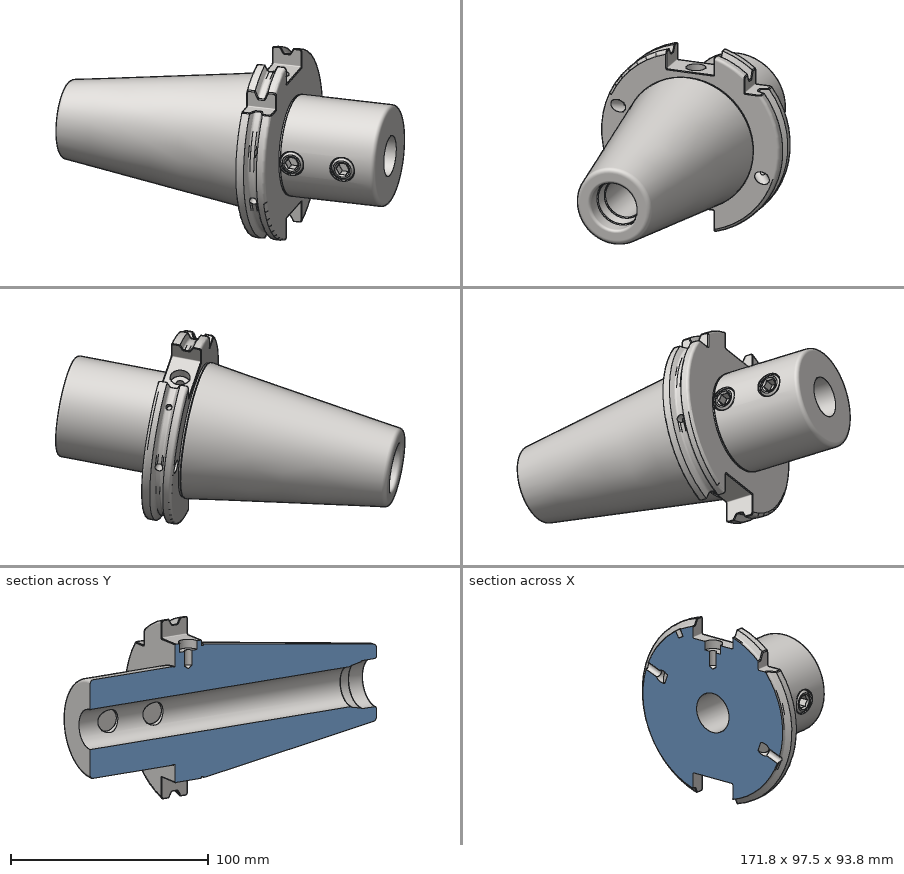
import cadquery as cq
import math


gauge_radius = 69.85 / 2
taper_length = 101.75
taper_per_length = 7 / 24 / 2
taper_overrun = 0.9
nose_fillet = 2.5

flange_start = 3.2
flange_width = 15.9
flange_radius = 97.5 / 2
flange_edge_fillet = 1.5
groove_x = 11.1
groove_width = 6.8
groove_depth = 3.1
groove_flank_angle = 30
groove_floor_fillet = 1

front_relief_depth = 0.5
front_relief_width = 1.4
rear_relief_depth = 0.3
rear_relief_width = 0.9

holder_radius = 52 / 2
holder_end = 70
holder_edge_fillet = 2

pilot_radius = 25 / 2
pilot_depth = 9
pilot_mouth_fillet = 1.5
throat_mouth_radius = 24 / 2
throat_end_radius = 21.8 / 2
throat_length = 5.5
bore_radius = 20.8 / 2

slot_width = 25.7
upper_slot_floor = 37.5
lower_slot_floor = 35.3
notch_y = -29.7
notch_z = 30
cut_edge_chamfer = 0.43
cut_corner_fillet = 0.5

chip_radius = 10 / 2
chip_depth = 4.6
chip_drill_radius = 4 / 2
chip_drill_depth = 8

drill_tip_ratio = 1 / math.tan(math.radians(118 / 2))

coolant_angle = 20
coolant_pitch_radius = 41.7
coolant_radius = 6.3 / 2
coolant_tilt = 40
coolant_depth = 12
feed_radius = 4 / 2
feed_depth = 12

mark_angle = 60
mark_radius = 3 / 2
mark_depth = 5

screw_positions = (25.75, 52.75)
screw_radius = 12 / 2
screw_top = 25.8
screw_length = 14
screw_top_radius = 9.6 / 2
hex_across_flats = 6
hex_depth = 6
hex_mouth_radius = 8 / 2
screw_hole_mouth_radius = 13 / 2

flange_end = flange_start + flange_width
land_radius = gauge_radius + taper_overrun * taper_per_length
nose_x = -taper_length
nose_radius = gauge_radius - taper_length * taper_per_length
groove_floor_radius = flange_radius - groove_depth
groove_floor_width = groove_width - 2 * groove_depth * math.tan(math.radians(groove_flank_angle))


def revolve_about_x(points):
    """Solid of revolution about X from a closed (x, radius) outline."""
    return cq.Workplane("XZ").polyline(points).close().revolve(360, (0, 0, 0), (1, 0, 0))


def radial_point(x, radius, angle):
    """Point at a radius from the X axis; the angle turns from +Y towards +Z."""
    turn = math.radians(angle)
    return cq.Vector(x, radius * math.cos(turn), radius * math.sin(turn))


def drill(start, direction, radius, depth):
    return cq.Workplane(cq.Solid.makeCylinder(radius, depth, start, direction))


def edges_at_circle(x, radius):
    """Selector for full or split circles about X at a given place."""
    reach = 0.05
    outer = cq.selectors.BoxSelector(
        (x - reach, -radius - reach, -radius - reach),
        (x + reach, radius + reach, radius + reach),
        boundingbox=True,
    )
    inner = cq.selectors.BoxSelector(
        (x - reach, -radius + reach, -radius + reach),
        (x + reach, radius - reach, radius - reach),
        boundingbox=True,
    )
    return outer - inner


def make_blank():
    groove_top = groove_width / 2
    groove_bottom = groove_floor_width / 2
    front_relief_start = flange_start - front_relief_width
    rear_relief_end = flange_end + rear_relief_width
    blank = revolve_about_x([
        (nose_x, 0),
        (nose_x, nose_radius),
        (taper_overrun, land_radius),
        (front_relief_start, land_radius),
        (front_relief_start + front_relief_depth, land_radius - front_relief_depth),
        (flange_start, land_radius - front_relief_depth),
        (flange_start, flange_radius),
        (groove_x - groove_top, flange_radius),
        (groove_x - groove_bottom, groove_floor_radius),
        (groove_x + groove_bottom, groove_floor_radius),
        (groove_x + groove_top, flange_radius),
        (flange_end, flange_radius),
        (flange_end, holder_radius - rear_relief_depth),
        (rear_relief_end, holder_radius - rear_relief_depth),
        (rear_relief_end, holder_radius),
        (holder_end, holder_radius),
        (holder_end, 0),
    ])
    blank = blank.edges(edges_at_circle(nose_x, nose_radius)).fillet(nose_fillet)
    blank = blank.edges(edges_at_circle(holder_end, holder_radius)).fillet(holder_edge_fillet)
    for x in (flange_start, flange_end):
        blank = blank.edges(edges_at_circle(x, flange_radius)).fillet(flange_edge_fillet)
    for side in (-1, 1):
        corner = edges_at_circle(groove_x + side * groove_bottom, groove_floor_radius)
        blank = blank.edges(corner).fillet(groove_floor_fillet)
    return blank


def make_bore():
    pilot_end = nose_x + pilot_depth
    throat_start = pilot_end + pilot_radius - throat_mouth_radius
    throat_end = throat_start + throat_length
    core_start = throat_end + throat_end_radius - bore_radius
    return revolve_about_x([
        (nose_x, 0),
        (nose_x, pilot_radius),
        (pilot_end, pilot_radius),
        (throat_start, throat_mouth_radius),
        (throat_end, throat_end_radius),
        (core_start, bore_radius),
        (holder_end, bore_radius),
        (holder_end, 0),
    ])


def make_flange_cut(y_min, y_max, floor):
    """Open-topped cut across the flange with rounded floor corners."""
    return (
        cq.Workplane("YZ", origin=(flange_start, (y_min + y_max) / 2, (floor + flange_radius) / 2))
        .rect(y_max - y_min, flange_radius - floor)
        .extrude(flange_width)
        .edges("|X and <Z")
        .fillet(cut_corner_fillet)
    )


def make_cuts():
    """Two drive slots on opposite sides and the orientation notch."""
    upper = make_flange_cut(-slot_width / 2, slot_width / 2, upper_slot_floor)
    lower = make_flange_cut(-slot_width / 2, slot_width / 2, lower_slot_floor)
    notch = make_flange_cut(-flange_radius, notch_y, notch_z)
    return [upper, lower.rotate((0, 0, 0), (1, 0, 0), 180), notch]


def cut_with_chamfered_rim(body, cut):
    """Take the cut from the body and chamfer the rim where the cut meets the flange surfaces."""
    body = body.cut(cut)
    box = cut.val().BoundingBox()
    reach = 0.01
    region = cq.selectors.BoxSelector(
        (box.xmin - reach, box.ymin - reach, box.zmin - reach),
        (box.xmax + reach, box.ymax + reach, box.zmax + reach),
        boundingbox=True,
    )
    return body.edges(region - cq.selectors.ParallelDirSelector(cq.Vector(1, 0, 0))).chamfer(cut_edge_chamfer)


def make_chip_pocket():
    down = cq.Vector(0, 0, -1)
    mouth = cq.Vector(groove_x, 0, upper_slot_floor)
    pocket = drill(mouth, down, chip_radius, chip_depth)
    pocket = pocket.union(drill(mouth, down, chip_drill_radius, chip_depth + chip_drill_depth))
    tip_start = mouth + down * (chip_depth + chip_drill_depth)
    tip = cq.Solid.makeCone(chip_drill_radius, 0, chip_drill_radius * drill_tip_ratio, tip_start, down)
    return pocket.union(cq.Workplane(tip))


def make_coolant_holes():
    """Tilted hole in the front face and radial feed in the groove, repeated half a turn apart."""
    holes = cq.Workplane()
    tilt = math.radians(coolant_tilt)
    for angle in (coolant_angle, coolant_angle + 180):
        outward = radial_point(0, 1, angle)
        axis = cq.Vector(math.cos(tilt), 0, 0) - outward * math.sin(tilt)
        mouth = radial_point(flange_start, coolant_pitch_radius, angle)
        runout = axis * (2 * coolant_radius)
        holes = holes.add(drill(mouth - runout, axis, coolant_radius, coolant_depth + runout.Length))
        feed_mouth = radial_point(groove_x, flange_radius, angle)
        holes = holes.add(drill(feed_mouth, outward * -1, feed_radius, feed_depth))
    return holes.combine()


def make_index_mark():
    mouth = radial_point(groove_x, groove_floor_radius + 1, mark_angle)
    return drill(mouth, radial_point(0, -1, mark_angle), mark_radius, mark_depth)


def make_screw_hole(x):
    mouth_y = -holder_radius
    chamfer = screw_hole_mouth_radius - screw_radius
    cone_y = -math.sqrt(holder_radius**2 - screw_hole_mouth_radius**2)
    inward = cq.Vector(0, 1, 0)
    hole = drill(cq.Vector(x, mouth_y, 0), inward, screw_radius, holder_radius)
    mouth = drill(cq.Vector(x, mouth_y, 0), inward, screw_hole_mouth_radius, mouth_y * -1 + cone_y)
    cone = cq.Solid.makeCone(
        screw_hole_mouth_radius, screw_radius, chamfer, cq.Vector(x, cone_y, 0), inward
    )
    return hole.union(mouth).union(cq.Workplane(cone))


def make_screw(x):
    inward = cq.Vector(0, 1, 0)
    top = cq.Vector(x, -screw_top, 0)
    screw = drill(top, inward, screw_radius, screw_length)
    screw = screw.faces("<Y").chamfer(screw_radius - screw_top_radius)
    socket = (
        cq.Workplane("XZ", origin=top.toTuple())
        .polygon(6, hex_across_flats, circumscribed=True)
        .extrude(-hex_depth)
        .rotate(top.toTuple(), (top + inward).toTuple(), 30)
    )
    mouth_cone = cq.Solid.makeCone(hex_mouth_radius, 0, hex_mouth_radius, top, inward)
    return screw.cut(socket).cut(cq.Workplane(mouth_cone))


holder = make_blank()
for flange_cut in make_cuts():
    holder = cut_with_chamfered_rim(holder, flange_cut)
holder = (
    holder.cut(make_bore())
    .edges(edges_at_circle(nose_x, pilot_radius))
    .fillet(pilot_mouth_fillet)
    .cut(make_chip_pocket())
    .cut(make_coolant_holes())
    .cut(make_index_mark())
)
for screw_x in screw_positions:
    holder = holder.cut(make_screw_hole(screw_x))

screws = [make_screw(screw_x) for screw_x in screw_positions]

result = cq.Compound.makeCompound([holder.val(), *[screw.val() for screw in screws]])